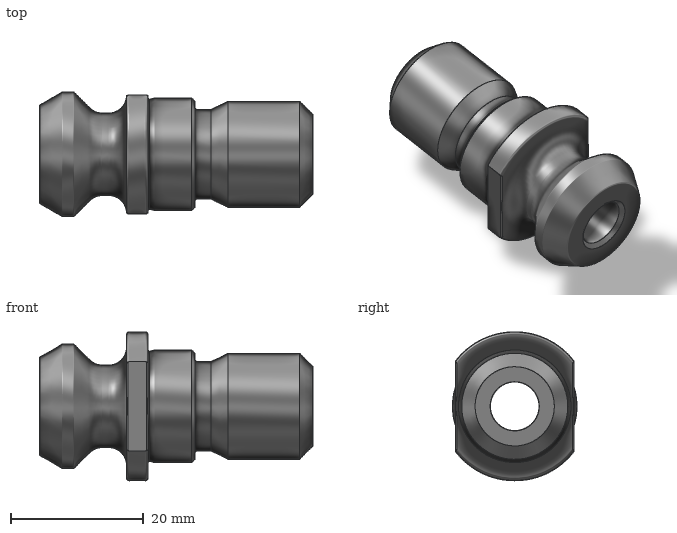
import cadquery as cq
import math

length = 41.25
bore_diameter = 7.35
bore_chamfer = 0.6

head_diameter = 18.8
head_cone_length = 3.45
head_cone_angle = 30.0
head_face_fillet = 0.3
head_band_end = 5.15
head_edge_fillet = 0.25

waist_diameter = 12.45
waist_arc_radius = 2.65
waist_back_angle = 45.0

flange_diameter = 22.5
flange_start = 13.12
flange_end = 16.4
flange_rim_fillet = 0.5
flat_width = 17.95
flat_chamfer = 0.25
flange_root_fillet = 0.25

lead_in_diameter = 16.6
lead_in_end = 17.4
collar_diameter = 17.0
collar_end = 23.45
collar_chamfer = 0.5

neck_diameter = 13.5
neck_end = 25.85
neck_root_fillet = 0.37
plug_diameter = 16.0
plug_start = 28.45
plug_chamfer = 2.02

head_radius = head_diameter / 2
waist_radius = waist_diameter / 2
flange_radius = flange_diameter / 2
lead_in_radius = lead_in_diameter / 2
collar_radius = collar_diameter / 2
neck_radius = neck_diameter / 2
plug_radius = plug_diameter / 2


def revolve(profile):
    """Turn a closed half profile, drawn as (x, radius), about the X axis."""
    return profile.close().revolve(360, (0, 0, 0), (1, 0, 0))


def fillet_circle(body, x, radius, fillet_radius):
    """Round the circular edge found at a given station and radius."""
    margin = 0.02
    box = cq.selectors.BoxSelector(
        (x - margin, -radius - margin, -radius - margin),
        (x + margin, radius + margin, radius + margin),
        boundingbox=True,
    )
    edges = body.edges(box).edges(cq.selectors.RadiusNthSelector(-1))
    return edges.fillet(fillet_radius)


def make_front():
    """Head and waist, ending inside the flange."""
    face_radius = head_radius - head_cone_length * math.tan(math.radians(head_cone_angle))
    angle = math.radians(waist_back_angle)
    arc_drop = waist_arc_radius * (1 - math.cos(angle))
    back_cone_bottom = waist_radius + arc_drop
    back_cone_end = head_band_end + (head_radius - back_cone_bottom) / math.tan(angle)
    waist_start = back_cone_end + waist_arc_radius * math.sin(angle)
    half_angle = angle / 2
    back_arc_middle = (
        waist_start - waist_arc_radius * math.sin(half_angle),
        waist_radius + waist_arc_radius * (1 - math.cos(half_angle)),
    )
    waist_end = flange_start - waist_arc_radius
    quarter_middle = (
        waist_end + waist_arc_radius * math.sin(math.pi / 4),
        waist_radius + waist_arc_radius * (1 - math.cos(math.pi / 4)),
    )
    body = revolve(
        cq.Workplane("XY")
        .moveTo(0, 0)
        .lineTo(0, face_radius)
        .lineTo(head_cone_length, head_radius)
        .lineTo(head_band_end, head_radius)
        .lineTo(back_cone_end, back_cone_bottom)
        .threePointArc(back_arc_middle, (waist_start, waist_radius))
        .lineTo(waist_end, waist_radius)
        .threePointArc(quarter_middle, (flange_start, waist_radius + waist_arc_radius))
        .lineTo(flange_end, waist_radius + waist_arc_radius)
        .lineTo(flange_end, 0)
    )
    body = fillet_circle(body, 0, face_radius, head_face_fillet)
    body = fillet_circle(body, head_cone_length, head_radius, head_edge_fillet)
    return fillet_circle(body, head_band_end, head_radius, head_edge_fillet)


def make_flange():
    """Round-rimmed disc trimmed by two chamfered flats facing -Y and +Y."""
    thickness = flange_end - flange_start
    disc = cq.Workplane("YZ", origin=(flange_start, 0, 0)).circle(flange_radius).extrude(thickness)
    disc = disc.edges().fillet(flange_rim_fillet)
    flats = (
        cq.Workplane("YZ", origin=(flange_start, 0, 0))
        .rect(flat_width, 2 * flange_radius)
        .extrude(thickness)
        .faces("<Y or >Y")
        .edges("|Z")
        .chamfer(flat_chamfer)
    )
    return disc.intersect(flats)


def make_rear():
    """Collar, neck and plug, with a small fillet running up to the flange."""
    root_end = flange_end + flange_root_fillet
    root_middle = (
        root_end - flange_root_fillet * math.sin(math.pi / 4),
        lead_in_radius + flange_root_fillet * (1 - math.cos(math.pi / 4)),
    )
    body = revolve(
        cq.Workplane("XY")
        .moveTo(flange_end, 0)
        .lineTo(flange_end, lead_in_radius + flange_root_fillet)
        .threePointArc(root_middle, (root_end, lead_in_radius))
        .lineTo(lead_in_end, collar_radius)
        .lineTo(collar_end - collar_chamfer, collar_radius)
        .lineTo(collar_end, collar_radius - collar_chamfer)
        .lineTo(collar_end, neck_radius)
        .lineTo(neck_end, neck_radius)
        .lineTo(plug_start, plug_radius)
        .lineTo(length - plug_chamfer, plug_radius)
        .lineTo(length, plug_radius - plug_chamfer)
        .lineTo(length, 0)
    )
    return fillet_circle(body, collar_end, neck_radius, neck_root_fillet)


def make_bore():
    """Through bore with a chamfered mouth in the head face."""
    bore_radius = bore_diameter / 2
    return revolve(
        cq.Workplane("XY")
        .moveTo(0, 0)
        .lineTo(0, bore_radius + bore_chamfer)
        .lineTo(bore_chamfer, bore_radius)
        .lineTo(length, bore_radius)
        .lineTo(length, 0)
    )


result = make_front().union(make_flange()).union(make_rear()).cut(make_bore())